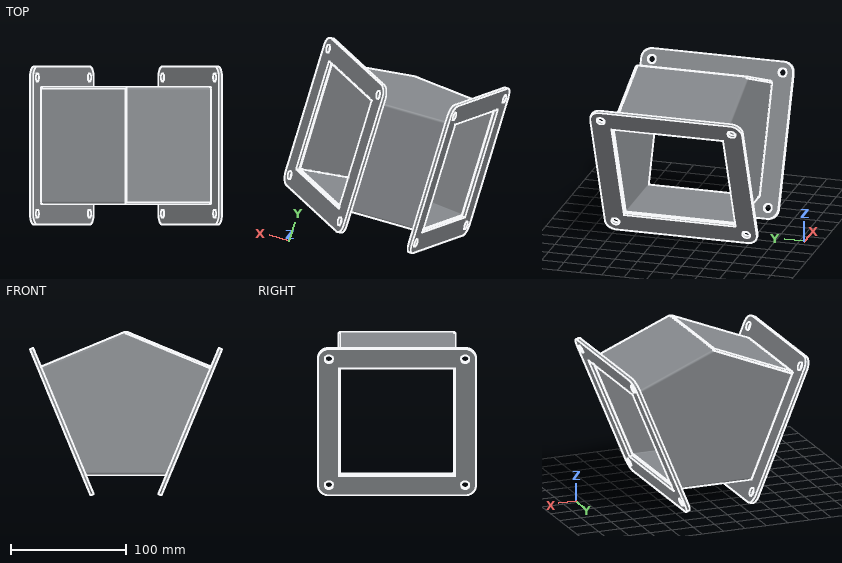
import cadquery as cq
import math

overall_width = 165.85
flange_size = 136.55
flange_thickness = 3.175
flange_corner_radius = 9.525
flange_opening = 100.3
bolt_hole_diameter = 7.14
bolt_hole_edge_distance = 9.525

duct_size = 101.6
wall_thickness = 1.778
inner_bend_radius = 1.0
seam_clearance = 0.02

elbow_angle = 45.0
tilt_angle = elbow_angle / 2
tilt = math.radians(tilt_angle)

outer_bend_radius = inner_bend_radius + wall_thickness
seam_depth = wall_thickness + seam_clearance
bolt_hole_spacing = flange_size - 2 * bolt_hole_edge_distance
flange_border = (flange_size - duct_size) / 2
end_top_x = (
    overall_width / 2
    - flange_thickness * math.cos(tilt)
    - flange_border * math.sin(tilt)
)
end_bottom_x = end_top_x - duct_size * math.sin(tilt)
end_top_z = duct_size * math.cos(tilt)
ridge_z = end_top_z + end_top_x * math.tan(tilt)
roof_length = end_top_x / math.cos(tilt)


def elbow_block(inset, bend_radius):
    """Solid elbow with its long walls moved inwards by inset and its bends rounded."""
    floor_x = end_bottom_x + inset * math.tan(tilt)
    shoulder_x = end_top_x - inset * math.sin(tilt)
    shoulder_z = end_top_z - inset * math.cos(tilt)
    half_depth = duct_size / 2 - inset
    block = (
        cq.Workplane("XZ")
        .polyline([
            (-floor_x, inset),
            (floor_x, inset),
            (shoulder_x, shoulder_z),
            (0, ridge_z - inset / math.cos(tilt)),
            (-shoulder_x, shoulder_z),
        ])
        .close()
        .extrude(half_depth, both=True)
    )
    roof_mid_x = shoulder_x / 2
    roof_mid_z = ridge_z - inset / math.cos(tilt) - roof_mid_x * math.tan(tilt)
    bend_points = [
        (-roof_mid_x, -half_depth, roof_mid_z),
        (roof_mid_x, half_depth, roof_mid_z),
        (0, -half_depth, inset),
        (0, half_depth, inset),
    ]
    for point in bend_points:
        block = block.edges(cq.selectors.NearestToPointSelector(point)).fillet(bend_radius)
    return block


def roof_seam_cut():
    """Square strip along the edge where the +X roof meets the front wall."""
    return (
        cq.Workplane("XY")
        .box(2 * roof_length, 2 * seam_depth, 2 * seam_depth)
        .translate((roof_length, 0, 0))
        .rotate((0, 0, 0), (0, 1, 0), tilt_angle)
        .translate((0, -duct_size / 2, ridge_z))
    )


def ridge_seam_cut():
    """V-shaped strip that leaves both roof sheets with square-cut edges at the ridge."""
    root_x = seam_clearance * math.cos(tilt)
    root_z = ridge_z - wall_thickness / math.cos(tilt) - seam_clearance * math.sin(tilt)
    lip_x = root_x + wall_thickness * math.sin(tilt)
    lip_z = root_z + wall_thickness * math.cos(tilt)
    return (
        cq.Workplane("XZ")
        .polyline([
            (-root_x, root_z),
            (root_x, root_z),
            (lip_x, lip_z),
            (0, ridge_z + wall_thickness),
            (-lip_x, lip_z),
        ])
        .close()
        .extrude(duct_size, both=True)
    )


def floor_end_cut():
    """Block that squares off the +X end of the floor between the side walls."""
    return (
        cq.Workplane("XY")
        .box(
            wall_thickness,
            duct_size - 2 * wall_thickness,
            wall_thickness,
            centered=(False, True, False),
        )
        .translate((end_bottom_x, 0, 0))
    )


def elbow_duct():
    """Folded sheet elbow, open at both ends, with seams along the ridge and two roof edges."""
    outside = elbow_block(0, outer_bend_radius)
    inside = elbow_block(wall_thickness, inner_bend_radius)
    duct = outside.cut(inside).cut(ridge_seam_cut())
    for turn in (0, 180):
        for cutter in (roof_seam_cut(), floor_end_cut()):
            duct = duct.cut(cutter.rotate((0, 0, 0), (0, 0, 1), turn))
    return duct


def flange(side):
    """Square flange seated on the duct end at +X (side = 1) or -X (side = -1)."""
    seat = cq.Plane(
        origin=(side * (end_top_x + end_bottom_x) / 2, 0, end_top_z / 2),
        xDir=(0, 1, 0),
        normal=(side * math.cos(tilt), 0, -math.sin(tilt)),
    )
    plate = (
        cq.Workplane(seat)
        .rect(flange_size, flange_size)
        .extrude(flange_thickness)
        .edges(cq.selectors.ParallelDirSelector(seat.zDir))
        .fillet(flange_corner_radius)
    )
    window = cq.Workplane(seat).rect(flange_opening, flange_opening).extrude(flange_thickness)
    bolt_holes = (
        cq.Workplane(seat)
        .rect(bolt_hole_spacing, bolt_hole_spacing, forConstruction=True)
        .vertices()
        .circle(bolt_hole_diameter / 2)
        .extrude(flange_thickness)
    )
    return plate.cut(window).cut(bolt_holes)


duct = elbow_duct()
flanges = [flange(side) for side in (-1, 1)]

result = cq.Compound.makeCompound([duct.val(), *[plate.val() for plate in flanges]])